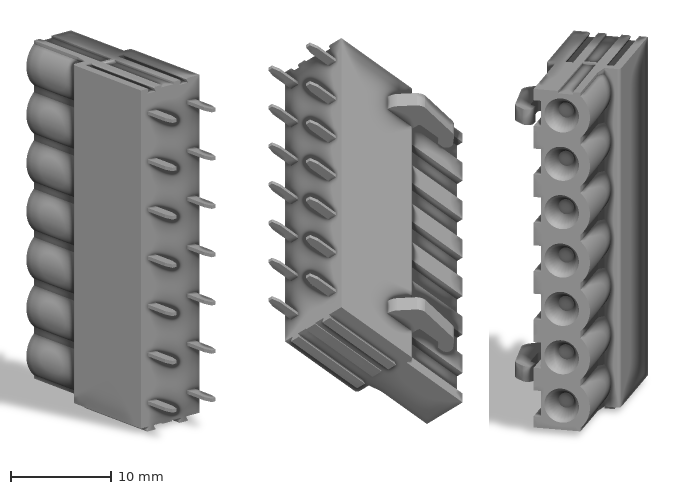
import cadquery as cq

overall_length = 22.45
overall_depth = 10.6
overall_height = 36.1
pole_count = 7
tail_height = 0.5
body_height = overall_height - tail_height
pole_pitch = body_height / pole_count
pole_heights = [(pole + 0.5) * pole_pitch for pole in range(pole_count)]

body_left = 8.25
body_right = 18.85
body_depth = 7.65
body_edge_radius = 0.35

valley_y = 1.9
block_rear_y = 6.75
entry_y = 3.85
barrel_front_y = 0.95
barrel_radius = entry_y - barrel_front_y
ramp_start_x = 6.7
ramp_top_y = 1.62
entry_mouth_diameter = 3.57
entry_floor_diameter = 1.6
entry_depth = 1.8
notch_depth = 0.75
notch_width = 2.7

latch_width = 1.62
latch_inset = 4.3
latch_underside_y = 8.5
latch_corner_size = 0.25
hook_tip_y = 7.87
latch_root_end_x = 12.1
latch_heights = [latch_inset, body_height - latch_inset]

pin_row_y = [1.35, 6.45]
pin_width = 0.97
pin_tip_width = 0.5
pin_thickness = 0.35
pin_taper_x = 21.55

rail_y = [1.37, 5.6]
rail_start_x = 9.15
rail_neck_width = 0.72
rail_head_width = 1.05
rail_neck_height = 0.15
rail_head_height = 0.1
groove_mouth_width = 0.97
groove_neck_width = 0.75
groove_floor_width = 1.1
groove_lead_in = 0.15

recess_y = 3.45
recess_depth = 0.25
recess_inner_width = 1.45
recess_outer_width = 1.55
left_recess_end_x = 9.4
right_recess_start_x = 9.75
recess_ramp_length = 0.35
pad_start_x = 9.03
pad_width = 1.23
pad_height = 0.1


def box(x_range, y_range, z_range):
    """Box filling the given (low, high) ranges."""
    size = [high - low for low, high in (x_range, y_range, z_range)]
    corner = (x_range[0], y_range[0], z_range[0])
    return cq.Workplane("XY").box(*size, centered=False).translate(corner)


def make_housing():
    housing = box((body_left, body_right), (0, body_depth), (0, body_height))
    return housing.edges("<X and |Z").fillet(body_edge_radius)


def make_entry_block():
    """Block with one barrel per pole and ramps between the barrels."""
    barrel_length = body_left + body_edge_radius
    block = (
        cq.Workplane("XY")
        .moveTo(0, valley_y)
        .lineTo(ramp_start_x, valley_y)
        .lineTo(body_left, ramp_top_y)
        .lineTo(barrel_length, ramp_top_y)
        .lineTo(barrel_length, block_rear_y)
        .lineTo(0, block_rear_y)
        .close()
        .extrude(body_height)
    )
    for z in pole_heights:
        barrel = (
            cq.Workplane("YZ")
            .center(entry_y, z)
            .circle(barrel_radius)
            .extrude(barrel_length)
        )
        front_half = box(
            (0, barrel_length),
            (barrel_front_y, entry_y),
            (z - pole_pitch / 2, z + pole_pitch / 2),
        )
        block = block.union(barrel.intersect(front_half))
    return block


def make_wire_entry(z):
    """Cone that narrows from the entry face to a flat floor."""
    return (
        cq.Workplane("YZ")
        .center(entry_y, z)
        .circle(entry_mouth_diameter / 2)
        .workplane(offset=entry_depth)
        .circle(entry_floor_diameter / 2)
        .loft(ruled=True)
    )


def make_rear_notch(z):
    return box(
        (0, body_left),
        (block_rear_y - notch_depth, block_rear_y),
        (z - notch_width / 2, z + notch_width / 2),
    )


def make_latch(z):
    """Hook that rises from the rear face and reaches back over the entry block."""
    root_y = body_depth - body_edge_radius
    return (
        cq.Workplane("XY")
        .workplane(offset=z - latch_width / 2)
        .moveTo(body_left, root_y)
        .lineTo(body_left, latch_underside_y - latch_corner_size)
        .radiusArc((body_left - latch_corner_size, latch_underside_y), -latch_corner_size)
        .lineTo(5.27, latch_underside_y)
        .lineTo(4.87, hook_tip_y)
        .lineTo(4.1, hook_tip_y)
        .threePointArc((3.65, 8.3), (3.83, 9.0))
        .lineTo(4.48, 9.7)
        .threePointArc((4.73, 9.9), (5.02, 10.0))
        .lineTo(9.75, overall_depth)
        .threePointArc((10.15, 10.5), (10.55, 10.25))
        .lineTo(11.77, 8.7)
        .threePointArc((12.02, 8.2), (latch_root_end_x, body_depth))
        .lineTo(latch_root_end_x, root_y)
        .close()
        .extrude(latch_width)
    )


def make_pin(y, z):
    """Flat pin with a tapered tip."""
    return (
        cq.Workplane("XY")
        .workplane(offset=z - pin_thickness / 2)
        .moveTo(body_right, y - pin_width / 2)
        .lineTo(pin_taper_x, y - pin_width / 2)
        .lineTo(overall_length, y - pin_tip_width / 2)
        .lineTo(overall_length, y + pin_tip_width / 2)
        .lineTo(pin_taper_x, y + pin_width / 2)
        .lineTo(body_right, y + pin_width / 2)
        .close()
        .extrude(pin_thickness)
    )


def make_rail(y, sections):
    """Rail along X through (width, height) sections, symmetric about y."""
    right_side = [(y + width / 2, z) for width, z in sections]
    left_side = [(y - width / 2, z) for width, z in reversed(sections)]
    return (
        cq.Workplane("YZ")
        .workplane(offset=rail_start_x)
        .polyline(right_side + left_side)
        .close()
        .extrude(body_right - rail_start_x)
    )


def make_tail(y):
    """Dovetail tail with a straight neck and a straight-sided head."""
    return make_rail(
        y,
        [
            (rail_neck_width, 0),
            (rail_neck_width, -rail_neck_height),
            (rail_head_width, rail_head_height - tail_height),
            (rail_head_width, -tail_height),
        ],
    )


def make_groove(y):
    """Dovetail groove with a chamfered mouth."""
    return make_rail(
        y,
        [
            (groove_mouth_width, body_height),
            (groove_neck_width, body_height - groove_lead_in),
            (groove_floor_width, body_height - tail_height),
        ],
    )


def make_recess(inner_x, outer_x):
    """Shallow recess that widens towards the end of the part."""
    return (
        cq.Workplane("XY")
        .workplane(offset=body_height - recess_depth)
        .moveTo(inner_x, recess_y - recess_inner_width / 2)
        .lineTo(outer_x, recess_y - recess_outer_width / 2)
        .lineTo(outer_x, recess_y + recess_outer_width / 2)
        .lineTo(inner_x, recess_y + recess_inner_width / 2)
        .close()
        .extrude(recess_depth)
    )


def make_recess_ramp():
    """Wedge that slopes from the top face down to the right recess floor."""
    ramp_end_x = right_recess_start_x + recess_ramp_length
    return (
        cq.Workplane("XZ", origin=(0, recess_y, 0))
        .moveTo(right_recess_start_x, body_height)
        .lineTo(ramp_end_x, body_height)
        .lineTo(ramp_end_x, body_height - recess_depth)
        .close()
        .extrude(recess_inner_width / 2, both=True)
    )


def make_pad():
    return box(
        (pad_start_x, body_right),
        (recess_y - pad_width / 2, recess_y + pad_width / 2),
        (-pad_height, 0),
    )


result = make_housing().union(make_entry_block())

for z in latch_heights:
    result = result.union(make_latch(z))

for z in pole_heights:
    result = result.cut(make_wire_entry(z)).cut(make_rear_notch(z))
    for y in pin_row_y:
        result = result.union(make_pin(y, z))

for y in rail_y:
    result = result.union(make_tail(y)).cut(make_groove(y))

result = result.union(make_pad())
result = result.cut(make_recess(left_recess_end_x, 0))
result = result.cut(make_recess(right_recess_start_x + recess_ramp_length, body_right))
result = result.cut(make_recess_ramp())